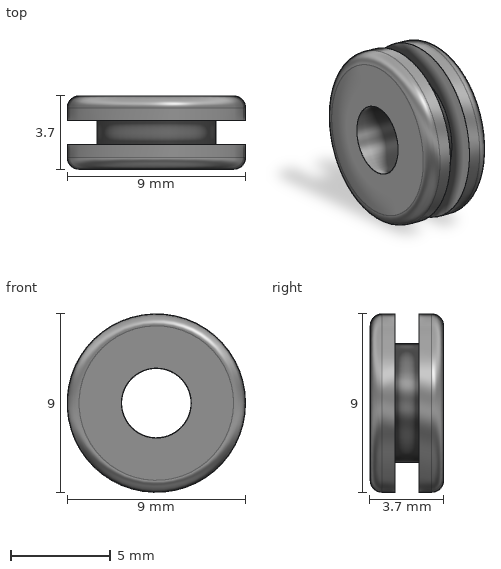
import cadquery as cq

flange_diameter = 9.0
neck_diameter = 6.0
bore_diameter = 3.5
total_width = 3.7
groove_width = 1.2
edge_radius = 0.6

flange_width = (total_width - groove_width) / 2


def cylinder_along_y(diameter, width):
    """Cylinder on the Y axis, centred on the origin."""
    start_plane = cq.Workplane("XZ", origin=(0, width / 2, 0))
    return start_plane.circle(diameter / 2).extrude(width)


def flange(side):
    """Flange with a rounded outer rim; side is -1 or +1 along Y."""
    center_y = side * (groove_width + flange_width) / 2
    outer_face = "<Y" if side < 0 else ">Y"
    disc = cylinder_along_y(flange_diameter, flange_width)
    return disc.faces(outer_face).edges().fillet(edge_radius).translate((0, center_y, 0))


body = cylinder_along_y(neck_diameter, groove_width)
for side in (-1, 1):
    body = body.union(flange(side))

result = body.cut(cylinder_along_y(bore_diameter, total_width))